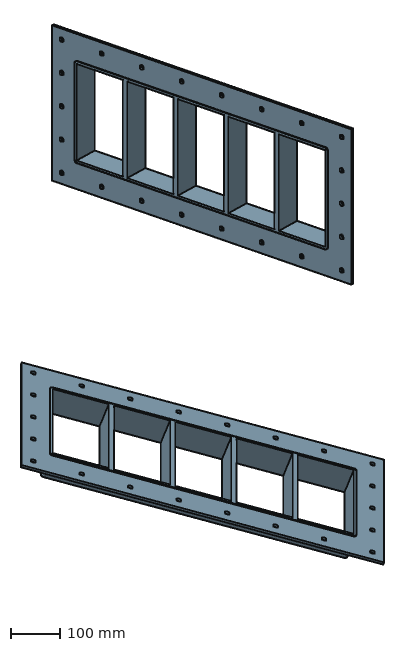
import cadquery as cq

flange_width = 774.5
flange_height = 350.0
flange_thickness = 6.0

frame_depth = 60.0
front_lip = 2.0
frame_corner_radius = 7.0

opening_count = 5
opening_width = 119.0
opening_height = 218.0
bar_width = 12.0
frame_wall = 6.0
opening_pitch = opening_width + bar_width
frame_width = opening_count * opening_width + (opening_count - 1) * bar_width + 2 * frame_wall
frame_height = opening_height + 2 * frame_wall

hole_diameter = 10.0
hole_edge_distance = 25.0
holes_per_row = 8
holes_per_column = 5
hole_span_x = flange_width - 2 * hole_edge_distance
hole_span_z = flange_height - 2 * hole_edge_distance
hole_pitch_x = hole_span_x / (holes_per_row - 1)
hole_pitch_z = hole_span_z / (holes_per_column - 1)


def block(width, depth, height, front_y):
    """Box centred in X and Z that extends from front_y toward +Y."""
    box = cq.Workplane("XY").box(width, depth, height, centered=(True, False, True))
    return box.translate((0, front_y, 0))


def bolt_points():
    """Centres on the perimeter of the hole grid, as (x, z) pairs."""
    points = []
    for column in range(holes_per_row):
        for row in range(holes_per_column):
            on_side = column in (0, holes_per_row - 1)
            on_end = row in (0, holes_per_column - 1)
            if on_side or on_end:
                x = -hole_span_x / 2 + column * hole_pitch_x
                z = -hole_span_z / 2 + row * hole_pitch_z
                points.append((x, z))
    return points


def make_flange():
    plate = block(flange_width, flange_thickness, flange_height, front_lip)
    return plate.faces("<Y").workplane(origin=(0, 0, 0)).pushPoints(bolt_points()).hole(hole_diameter)


def make_frame():
    return block(frame_width, frame_depth, frame_height, 0).edges("|Y").fillet(frame_corner_radius)


def make_openings():
    return (
        cq.Workplane("XZ")
        .rarray(opening_pitch, 8, opening_count, 1)
        .rect(opening_width, opening_height)
        .extrude(-frame_depth)
    )


result = make_flange().union(make_frame()).cut(make_openings())